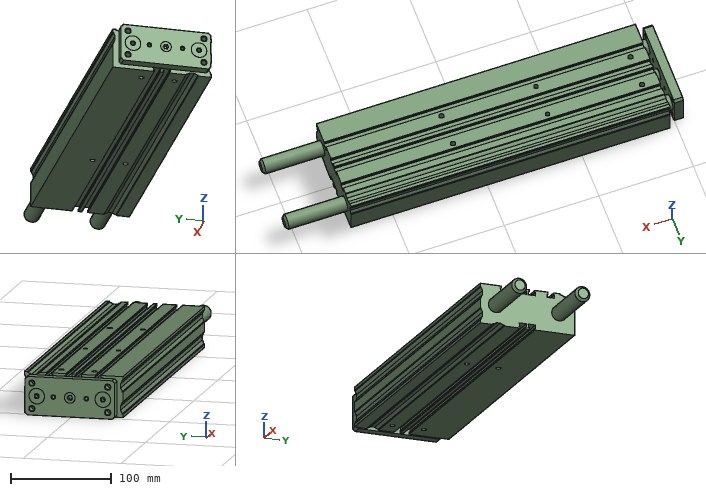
import cadquery as cq

total_length = 418.0
housing_width = 101.0
housing_height = 42.0
housing_front = 16.0
housing_rear = 353.2
housing_length = housing_rear - housing_front
half_width = housing_width / 2
half_height = housing_height / 2

hole_countersink = 0.63

plate_thickness = 9.5
plate_width = 92.0
plate_height = 39.5
plate_chamfer = 2.5
corner_hole_diameter = 5.0
corner_hole_y = 39.0
corner_hole_z = 13.0
small_hole_diameter = 3.5

guide_rod_diameter = 16.0
guide_rod_y = 34.0
guide_rod_chamfer = 2.5
piston_rod_diameter = 12.0
piston_rod_end_wall = 16.0
piston_rod_rear = housing_rear - piston_rod_end_wall
rod_socket_diameter = 3.8
rod_socket_depth = 7.5

screw_diameter = 11.0
screw_socket_corner_width = 5.5
screw_socket_depth = 5.0

mounting_hole_y = guide_rod_y / 2
mounting_hole_first_x = 33.5
mounting_hole_pitch = 100.0
mounting_hole_diameter = 5.0
pin_hole_diameter = 4.0
pin_hole_depth = 8.0

slot_depth = 5.5
slot_lip_depth = 2.0
slot_undercut = 1.0
center_rib_width = 3.8
center_slot_outer_y = 8.0
outer_slot_inner_y = 22.0
outer_slot_outer_y = 28.0

sensor_mouth_half = 6.3
sensor_wall_half = 6.0
sensor_floor_half = 2.0
sensor_wall_depth = 1.0
sensor_depth = 2.5
sensor_flank_sag = 0.2
sensor_offset = 9.5
bottom_sensor_y = -31.0


def rod_along_x(diameter, start, end, y):
    """Plain round bar from x = start to x = end, on the mid-height axis at the given y."""
    return cq.Workplane("YZ", origin=(start, y, 0)).circle(diameter / 2).extrude(end - start)


def undercut_slot(inner_y, outer_y, side):
    """Cutter for a T-shaped slot in the top (side = 1) or the bottom (side = -1)."""
    mouth_width = abs(outer_y - inner_y)
    cavity_height = slot_depth - slot_lip_depth
    middle = cq.Workplane("YZ", origin=(housing_front, (inner_y + outer_y) / 2, 0))
    mouth = (
        middle.center(0, side * (half_height - slot_depth / 2))
        .rect(mouth_width, slot_depth)
        .extrude(housing_length)
    )
    cavity = (
        middle.center(0, side * (half_height - slot_depth + cavity_height / 2))
        .rect(mouth_width + 2 * slot_undercut, cavity_height)
        .extrude(housing_length)
    )
    return mouth.union(cavity)


def sensor_groove(y, z, turn):
    """Cutter for a flared groove whose mouth is centred at (y, z).

    With turn = 0 it opens upwards; turn is in degrees about the X axis.
    """
    return (
        cq.Workplane("YZ", origin=(housing_front, 0, 0))
        .moveTo(-sensor_mouth_half, 0)
        .lineTo(-sensor_wall_half, -sensor_wall_depth)
        .sagittaArc((-sensor_floor_half, -sensor_depth), sensor_flank_sag)
        .lineTo(sensor_floor_half, -sensor_depth)
        .sagittaArc((sensor_wall_half, -sensor_wall_depth), sensor_flank_sag)
        .lineTo(sensor_mouth_half, 0)
        .close()
        .extrude(housing_length)
        .rotate((0, 0, 0), (1, 0, 0), turn)
        .translate((0, y, z))
    )


def make_housing():
    housing = cq.Workplane("XY").box(housing_length, housing_width, housing_height)
    housing = housing.translate((housing_front + housing_length / 2, 0, 0))

    for y_sign in (1, -1):
        for side in (1, -1):
            housing = housing.cut(
                undercut_slot(y_sign * center_rib_width / 2, y_sign * center_slot_outer_y, side)
            )
        housing = housing.cut(
            undercut_slot(y_sign * outer_slot_inner_y, y_sign * outer_slot_outer_y, 1)
        )

    sensor_z = half_height - sensor_offset
    housing = housing.cut(sensor_groove(half_width - sensor_offset, half_height, 0))
    housing = housing.cut(sensor_groove(bottom_sensor_y, -half_height, 180))
    housing = housing.cut(sensor_groove(half_width, sensor_z, -90))
    housing = housing.cut(sensor_groove(-half_width, sensor_z, 90))
    housing = housing.cut(sensor_groove(-half_width, -sensor_z, 90))

    for y in (guide_rod_y, -guide_rod_y):
        housing = housing.cut(rod_along_x(guide_rod_diameter, housing_front, housing_rear, y))
    housing = housing.cut(rod_along_x(piston_rod_diameter, housing_front, piston_rod_rear, 0))

    top = cq.Workplane("XY", origin=(0, 0, half_height))
    through_x = [mounting_hole_first_x, mounting_hole_first_x + 2 * mounting_hole_pitch]
    pin_x = mounting_hole_first_x + mounting_hole_pitch
    hole_rows = (mounting_hole_y, -mounting_hole_y)
    through_holes = (
        top.pushPoints([(x, y) for x in through_x for y in hole_rows])
        .circle(mounting_hole_diameter / 2)
        .extrude(-housing_height)
    )
    pin_holes = (
        top.pushPoints([(pin_x, y) for y in hole_rows])
        .circle(pin_hole_diameter / 2)
        .extrude(-pin_hole_depth)
    )
    return housing.cut(through_holes).cut(pin_holes)


def countersunk_hole(diameter, depth, y, z):
    """Cutter for a hole into the front face, opened out there by a 45 degree countersink."""
    bore = cq.Workplane("YZ", origin=(0, y, z)).circle(diameter / 2).extrude(depth)
    mouth = (
        cq.Workplane("YZ", origin=(0, y, z))
        .circle(diameter / 2 + hole_countersink)
        .workplane(offset=hole_countersink)
        .circle(diameter / 2)
        .loft()
    )
    return bore.union(mouth)


def make_plate():
    plate = (
        cq.Workplane("YZ")
        .rect(plate_width, plate_height)
        .extrude(plate_thickness)
        .edges("|X")
        .chamfer(plate_chamfer)
    )
    for y in (corner_hole_y, -corner_hole_y):
        for z in (corner_hole_z, -corner_hole_z):
            plate = plate.cut(countersunk_hole(corner_hole_diameter, plate_thickness, y, z))
    for y in (mounting_hole_y, -mounting_hole_y):
        plate = plate.cut(countersunk_hole(small_hole_diameter, plate_thickness, y, 0))
    for y in (guide_rod_y, -guide_rod_y):
        plate = plate.cut(rod_along_x(guide_rod_diameter, 0, plate_thickness, y))
    return plate.cut(rod_along_x(screw_diameter, 0, plate_thickness, 0))


def make_guide_rod(y):
    rod = rod_along_x(guide_rod_diameter, 0, total_length, y).faces(">X").chamfer(guide_rod_chamfer)
    return rod.cut(countersunk_hole(rod_socket_diameter, rod_socket_depth, y, 0))


def make_piston_rod():
    """The rod starts against the back of the plate."""
    return rod_along_x(piston_rod_diameter, plate_thickness, piston_rod_rear, 0)


def make_screw():
    screw = rod_along_x(screw_diameter, 0, plate_thickness, 0)
    hex_socket = cq.Workplane("YZ").polygon(6, screw_socket_corner_width).extrude(screw_socket_depth)
    return screw.cut(hex_socket)


housing = make_housing()
plate = make_plate()
guide_rods = [make_guide_rod(y) for y in (guide_rod_y, -guide_rod_y)]
piston_rod = make_piston_rod()
screw = make_screw()

result = cq.Compound.makeCompound(
    [housing.val(), plate.val(), *[rod.val() for rod in guide_rods], piston_rod.val(), screw.val()]
)